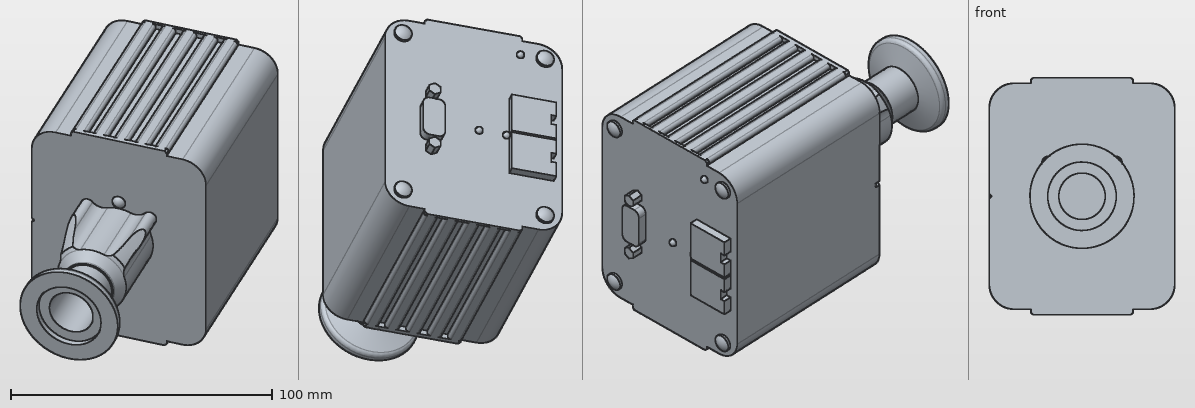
import cadquery as cq
import math


case_width = 71.12
total_height = 90.81
total_length = 139.26
case_depth = 79.4
pad_width = 39.12
pad_rise = 2.1
case_height = total_height - 2 * pad_rise
corner_radius = 9.65
front_plate_thickness = 2.03
back_plate_thickness = 1.27
plate_pad_chamfer = 0.9
notch_depth = 1.0

rib_width = 5.76
rib_round = 1.27
inner_rib_offset = 8.52
outer_rib_offset = (pad_width - rib_width) / 2
rib_places = [-outer_rib_offset, -inner_rib_offset, 0, inner_rib_offset, outer_rib_offset]

nozzle_length = 55.1
collar_diameter = 28.02
collar_length = 29.7
collar_end_diameter = 20.5
collar_tip_length = 33.95
collar_tip_round = 0.8
ear_round_diameter = 5.36
ear_offset = 12.7
ear_blend_radius = 5.59
ear_taper_start_radius = ear_offset * math.sqrt(2) + ear_round_diameter / 2
ear_taper_start = 10.9
ear_taper_end = 28.6
ear_taper_end_radius = 15.4
tube_diameter = 19.3
flange_diameter = 39.88
flange_back = 48.9
flange_cone_angle = 15.0
flange_edge_round = 1.9
seat_diameter = 26.26
seat_depth = 2.6
bore_diameter = 17.78

front_screw_diameter = 5.36
front_screw_rise = 1.9
front_screw_offset = 16.9

back_screw_diameter = 6.89
back_screw_rise = 2.4
back_screw_edge_rise = 1.1
back_screw_x = 28.5
back_screw_z = 36.5

connector_z = -2.25

lamp_diameter = 3.0
lamp_rise = 1.7
lamp_edge_rise = 0.4
lamp_places = [(-18.7, back_screw_z), (-13.1, connector_z), (-2.1, connector_z)]

jack_x = -23.2
jack_width = 17.85
jack_height = 16.8
jack_rise = 3.45
jack_gap = 0.84
jack_notch_width = 4.2
jack_notch_depth = 2.0
shell_x = 17.0
shell_width = 8.8
shell_height = 17.2
shell_round = 2.6
shell_rise = 3.8
post_spacing = 25.0
post_across_flats = 4.45
post_sides = 6
post_rise = total_length - nozzle_length - case_depth


def section(y):
    """Sketch plane across the part at the given Y, with local x = X and local y = Z; it extrudes toward -Y."""
    return cq.Workplane(cq.Plane(origin=(0, y, 0), xDir=(1, 0, 0), normal=(0, -1, 0)))


def block(width, height, y_start, y_end, x=0, z=0):
    """Prism of the given X width and Z height between two Y positions."""
    return section(y_start).center(x, z).rect(width, height).extrude(y_start - y_end)


def turned(half_profile):
    """Revolve a closed (radius, Y) workplane profile about the Y axis."""
    return half_profile.revolve(360, (0, 0, 0), (0, 1, 0))


def ring_near(y):
    """Selector for the circular edges centered on the nozzle axis at the given Y."""
    reach = flange_diameter
    margin = 0.05
    return cq.selectors.BoxSelector((-reach, y - margin, -reach), (reach, y + margin, reach))


def make_plate(y_start, y_end):
    rounded_case = block(case_width, case_height, y_start, y_end).edges("|Y").fillet(corner_radius)
    pad = block(pad_width, total_height, y_start, y_end).edges("|Y").chamfer(plate_pad_chamfer)
    return rounded_case.union(pad)


def make_case():
    body_start = front_plate_thickness
    body_end = case_depth - back_plate_thickness
    case = block(case_width, case_height, body_start, body_end).edges("|Y").fillet(corner_radius)
    for rib_x in rib_places:
        rib = block(rib_width, total_height, body_start, body_end, rib_x).edges("|Y").fillet(rib_round)
        case = case.union(rib)
    notch = (
        section(0)
        .polyline([
            (-case_width / 2, notch_depth),
            (-case_width / 2 + notch_depth, 0),
            (-case_width / 2, -notch_depth),
        ])
        .close()
        .extrude(-front_plate_thickness)
    )
    front_plate = make_plate(0, front_plate_thickness).cut(notch)
    back_plate = make_plate(body_end, case_depth)
    return case.union(front_plate).union(back_plate)


def make_collar():
    """Round collar with two ears at 45 degrees, each blended into the collar and tapered to the tip."""
    collar_radius = collar_diameter / 2
    ear_radius = ear_round_diameter / 2

    to_collar = collar_radius + ear_blend_radius
    to_ear = ear_radius + ear_blend_radius
    ear_distance = ear_offset * math.sqrt(2)
    bearing = math.acos((to_collar**2 + ear_distance**2 - to_ear**2) / (2 * to_collar * ear_distance))

    collar = section(0).circle(collar_radius).extrude(collar_tip_length)
    for side in (-1, 1):
        ear_center = (side * ear_offset, ear_offset)
        ear = section(0).center(*ear_center).circle(ear_radius).extrude(collar_tip_length)
        blend_centers = []
        for turn in (-bearing, bearing):
            angle = math.pi / 4 + turn
            blend_centers.append((side * to_collar * math.cos(angle), to_collar * math.sin(angle)))
        web = (
            section(0)
            .polyline([(0, 0), blend_centers[0], ear_center, blend_centers[1]])
            .close()
            .extrude(collar_tip_length)
        )
        blends = section(0).pushPoints(blend_centers).circle(ear_blend_radius).extrude(collar_tip_length)
        collar = collar.union(ear).union(web.cut(blends))

    tip_radius = collar_end_diameter / 2
    cone_end = collar_length + collar_radius - tip_radius
    envelope = turned(
        cq.Workplane("XY").polyline([
            (0, 0),
            (ear_taper_start_radius, 0),
            (ear_taper_start_radius, -ear_taper_start),
            (ear_taper_end_radius, -ear_taper_end),
            (collar_radius, -collar_length),
            (tip_radius, -cone_end),
            (tip_radius, -collar_tip_length),
            (0, -collar_tip_length),
        ]).close()
    )
    tip_edge = envelope.edges(ring_near(-cone_end))
    return collar.intersect(tip_edge.fillet(collar_tip_round))


def make_tube():
    tube_radius = tube_diameter / 2
    flange_radius = flange_diameter / 2
    cone_rise = (flange_radius - tube_radius) * math.tan(math.radians(flange_cone_angle))
    rim_start = flange_back + cone_rise
    tube = turned(
        cq.Workplane("XY").polyline([
            (0, 0),
            (tube_radius, 0),
            (tube_radius, -flange_back),
            (flange_radius, -rim_start),
            (flange_radius, -nozzle_length),
            (0, -nozzle_length),
        ]).close()
    )
    return tube.edges(ring_near(-rim_start)).fillet(flange_edge_round)


def make_nozzle():
    bore = section(0).circle(bore_diameter / 2).extrude(nozzle_length)
    seat = section(seat_depth - nozzle_length).circle(seat_diameter / 2).extrude(seat_depth)
    return make_collar().union(make_tube()).cut(bore).cut(seat)


def make_dome(diameter, edge_rise, rise):
    """Round head on the X-Z plane, toward +Y: a cylinder of edge_rise under a spherical cap."""
    radius = diameter / 2
    cap_rise = rise - edge_rise
    sphere_radius = (radius**2 + cap_rise**2) / (2 * cap_rise)
    half_span = math.acos(1 - cap_rise / sphere_radius) / 2
    halfway = (
        sphere_radius * math.sin(half_span),
        rise - sphere_radius * (1 - math.cos(half_span)),
    )
    profile = cq.Workplane("XY").lineTo(radius, 0)
    if edge_rise > 0:
        profile = profile.lineTo(radius, edge_rise)
    return turned(profile.threePointArc(halfway, (0, rise)).close())


def make_front_screw(z):
    head = make_dome(front_screw_diameter, 0, front_screw_rise)
    return head.mirror("XZ").translate((0, 0, z))


def make_back_screw(x, z):
    head = make_dome(back_screw_diameter, back_screw_edge_rise, back_screw_rise)
    return head.translate((x, case_depth, z))


def make_lamp(x, z):
    lamp = make_dome(lamp_diameter, lamp_edge_rise, lamp_rise)
    return lamp.translate((x, case_depth, z))


def make_jack(z):
    jack_end = case_depth + jack_rise
    jack = block(jack_width, jack_height, case_depth, jack_end, jack_x, z)
    notch_x = jack_x - (jack_width - jack_notch_depth) / 2
    return jack.cut(block(jack_notch_depth, jack_notch_width, case_depth, jack_end, notch_x, z))


def make_shell_connector():
    connector = block(
        shell_width, shell_height, case_depth, case_depth + shell_rise, shell_x, connector_z
    ).edges("|Y").fillet(shell_round)
    across_corners = post_across_flats / math.cos(math.pi / post_sides)
    for side in (-1, 1):
        post = cq.Workplane("XZ").polygon(post_sides, across_corners).extrude(-post_rise)
        post = post.rotate((0, 0, 0), (0, 1, 0), 180 / post_sides)
        post_z = connector_z + side * post_spacing / 2
        connector = connector.union(post.translate((shell_x, case_depth, post_z)))
    return connector


result = make_case().union(make_nozzle()).union(make_shell_connector())
for side in (-1, 1):
    result = result.union(make_front_screw(side * front_screw_offset))
    result = result.union(make_jack(connector_z + side * (jack_height + jack_gap) / 2))
    for x_side in (-1, 1):
        result = result.union(make_back_screw(x_side * back_screw_x, side * back_screw_z))
for lamp_x, lamp_z in lamp_places:
    result = result.union(make_lamp(lamp_x, lamp_z))